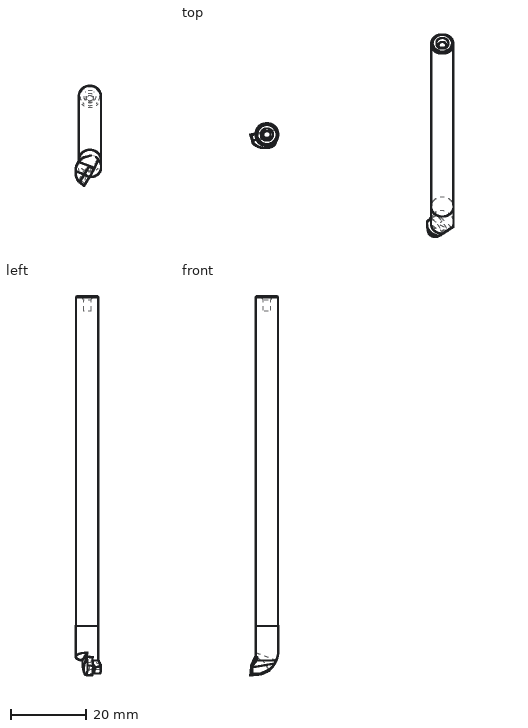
import cadquery as cq
import math

overall_length = 101.1
shank_diameter = 6.0
neck_diameter = 6.1
neck_length = 13.1
shank_chamfer = 0.4

hole_diameter = 2.0
hole_depth = 4.0
countersink_diameter = 3.2
countersink_angle = 60.0

inscribed_diameter = 3.9
insert_thickness = 1.5
corner_angle = 80.0
clearance_angle = 5.0
lead_angle = 85.0
tip_x = -4.4

rake_slope_x = 0.22
rake_slope_z = -0.06

flare_top = 4.0
head_radius = 4.4
head_center = (-0.6, 0.8, 2.7)
head_tilt = 0.17

heel_seat_corner = (-2.6, 4.9)
heel_left_top = (-3.7, 2.5)
heel_left_bottom = (-3.9, 0.5)
heel_flat_end = (-1.6, 0.5)
heel_slope_end = (0.8, 1.6)
heel_arc_middle = (2.1, 3.2)
heel_arc_top = 5.9

flute_height = 5.0
flute_slope = -0.37

neck_radius = neck_diameter / 2
clear = 4 * neck_diameter

rake_plane = cq.Plane(
    origin=(tip_x, 0, 0),
    xDir=(1, rake_slope_x, 0),
    normal=(-rake_slope_x, 1, -rake_slope_z),
)


def trigon_points():
    """Corners of the insert in the rake plane, where local Y points down and the tip is the origin."""
    half_corner = corner_angle / 2
    sharp_reach = inscribed_diameter / 2 / math.sin(math.radians(half_corner))
    blunt_reach = inscribed_diameter / 2 / math.cos(math.radians(half_corner - 30))
    bisector = lead_angle - half_corner
    to_center = math.radians(bisector)
    center_x = sharp_reach * math.cos(to_center)
    center_z = sharp_reach * math.sin(to_center)
    points = []
    for index in range(6):
        reach = blunt_reach if index % 2 else sharp_reach
        angle = math.radians(bisector + 180 + 60 * index)
        points.append((center_x + reach * math.cos(angle), -center_z - reach * math.sin(angle)))
    return points


def make_insert():
    outline = cq.Workplane(rake_plane).polyline(trigon_points()).close()
    return outline.extrude(-insert_thickness, taper=clearance_angle)


def make_shank():
    shank = (
        cq.Workplane("XY", origin=(0, 0, neck_length))
        .circle(shank_diameter / 2)
        .extrude(overall_length - neck_length)
        .faces(">Z")
        .chamfer(shank_chamfer)
    )
    rear_face = shank.faces(">Z").workplane()
    return rear_face.cskHole(hole_diameter, countersink_diameter, countersink_angle, depth=hole_depth)


def make_neck():
    """Neck, flare and head before the heel and flute are cut."""
    neck = cq.Workplane("XY").circle(neck_radius).extrude(neck_length)
    center = cq.Vector(*head_center)
    head_up = cq.Vector(-head_tilt, 0, 1)
    head = cq.Solid.makeCylinder(head_radius, flare_top, center, -head_up)
    head_wire = cq.Wire.makeCircle(head_radius, center, head_up)
    neck_wire = cq.Wire.makeCircle(neck_radius, cq.Vector(0, 0, flare_top), cq.Vector(0, 0, 1))
    flare = cq.Solid.makeLoft([head_wire, neck_wire], True)
    return neck.union(cq.Workplane(head)).union(cq.Workplane(flare))


def make_heel_envelope():
    """Block that keeps only what lies inside the side outline of the head."""
    return (
        cq.Workplane("XZ")
        .moveTo(*heel_left_bottom)
        .lineTo(*heel_flat_end)
        .lineTo(*heel_slope_end)
        .threePointArc(heel_arc_middle, (neck_radius, heel_arc_top))
        .lineTo(clear, heel_arc_top)
        .lineTo(clear, clear)
        .lineTo(-clear, clear)
        .lineTo(-clear, heel_seat_corner[1])
        .lineTo(*heel_seat_corner)
        .lineTo(*heel_left_top)
        .close()
        .extrude(clear, both=True)
    )


def make_flute():
    """Everything in front of the rake plane and below the sloping end wall."""
    rise = flute_slope * clear
    below_wall = (
        cq.Workplane("XZ")
        .moveTo(-clear, -clear)
        .lineTo(clear, -clear)
        .lineTo(clear, flute_height + rise)
        .lineTo(-clear, flute_height - rise)
        .close()
        .extrude(clear, both=True)
    )
    before_rake = cq.Workplane(rake_plane).rect(4 * clear, 4 * clear).extrude(clear)
    return below_wall.intersect(before_rake)


insert = make_insert()
head_end = make_neck().intersect(make_heel_envelope()).cut(make_flute())
bar = make_shank().union(head_end).cut(insert).solids()
result = cq.Compound.makeCompound([bar.val(), insert.val()])